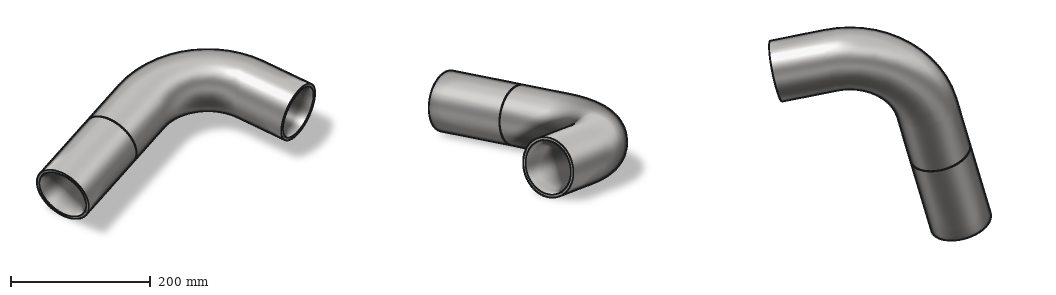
import cadquery as cq

total_length = 363.5
total_width = 238.5
outer_diameter = 89.0
bore_diameter = 80.0
elbow_leg = 80.7
groove_width = 0.7
groove_depth = 0.5

outer_radius = outer_diameter / 2
bend_radius = total_width - outer_radius - elbow_leg
pipe_length = total_length - outer_radius - bend_radius - elbow_leg

seam_y = pipe_length
bend_start_y = seam_y + elbow_leg
bend_end_y = bend_start_y + bend_radius


def rod_along_y(diameter, start_y, length):
    """Solid cylinder on the inlet axis, running toward +Y."""
    plane = cq.Plane(origin=(0, start_y, 0), xDir=(1, 0, 0), normal=(0, 1, 0))
    return cq.Workplane(plane).circle(diameter / 2).extrude(length)


def rod_along_path(diameter):
    """Solid round bar through the inlet, the 90 degree bend and the outlet."""
    inlet = rod_along_y(diameter, 0, bend_start_y)
    bend = (
        cq.Workplane("XZ", origin=(0, bend_start_y, 0))
        .circle(diameter / 2)
        .revolve(90, (bend_radius, 0, 0), (bend_radius, -1, 0))
    )
    outlet = (
        cq.Workplane("YZ", origin=(bend_radius, bend_end_y, 0))
        .circle(diameter / 2)
        .extrude(elbow_leg)
    )
    return inlet.union(bend).union(outlet)


def seam_groove():
    """Shallow ring around the joint of pipe and elbow."""
    start_y = seam_y - groove_width / 2
    ring = rod_along_y(outer_diameter, start_y, groove_width)
    core = rod_along_y(outer_diameter - 2 * groove_depth, start_y, groove_width)
    return ring.cut(core)


result = rod_along_path(outer_diameter).cut(rod_along_path(bore_diameter)).cut(seam_groove())